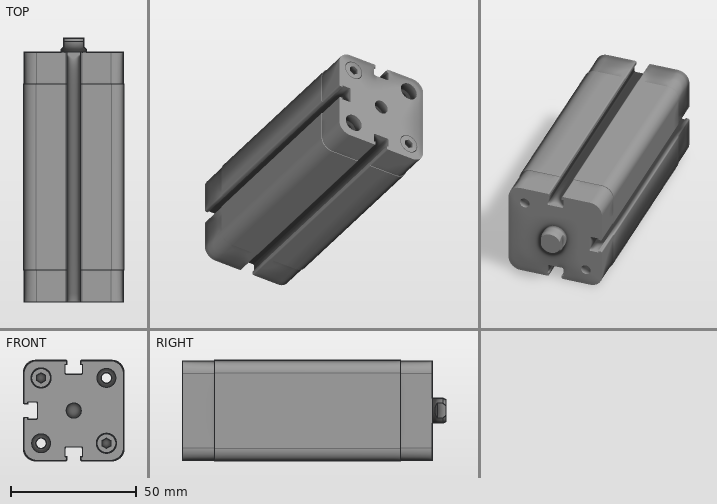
import cadquery as cq
import math


total_length = 105.0
rod_projection = 5.5
cap_length = 12.75
body_length = total_length - rod_projection
barrel_length = body_length - 2 * cap_length

barrel_width = 40.1
cap_width = 39.6
corner_radius = 5.0

mouth_half_width = 2.7
mouth_radius = 0.55
pocket_half_width = 3.4
lip_height = 18.3
floor_height = 14.5
floor_radius = 0.5
groove_angles = (0, 180, -90)

hole_offset = 13.0
through_diameter = 4.13
counterbore_diameter = 7.5
counterbore_depth = 4.5
screw_bore_diameter = 8.0
screw_head_diameter = 7.5
screw_gap_depth = 5.0
socket_flats = 3.5
socket_depth = 3.0
centre_hole_diameter = 6.0
centre_hole_depth = 4.0

rod_diameter = 10.0
rod_flats = 8.0
rod_flat_length = 3.5
rod_chamfer_length = 1.3
rod_chamfer_depth = 0.65

through_points = [(hole_offset, hole_offset), (-hole_offset, -hole_offset)]
screw_points = [(-hole_offset, hole_offset), (hole_offset, -hole_offset)]


def section_plane(y):
    """Workplane across the cylinder at the given Y, with local axes X and Z and normal -Y."""
    return cq.Workplane("XZ", origin=(0, y, 0))


def arc_middle(centre_x, centre_z, radius, sign_x, sign_z):
    """Midpoint of a quarter arc lying on the given diagonal side of its centre."""
    reach = radius * math.sqrt(0.5)
    return (centre_x + sign_x * reach, centre_z + sign_z * reach)


def groove(face_height, y, length):
    """T-shaped groove through a +Z face, with rounded mouth edges and floor corners."""
    flare = mouth_half_width + mouth_radius
    mouth_bottom = face_height - mouth_radius
    floor_edge = pocket_half_width - floor_radius
    floor_top = floor_height + floor_radius
    return (
        section_plane(y)
        .moveTo(flare, face_height)
        .threePointArc(
            arc_middle(flare, mouth_bottom, mouth_radius, -1, 1),
            (mouth_half_width, mouth_bottom),
        )
        .lineTo(mouth_half_width, lip_height)
        .lineTo(pocket_half_width, lip_height)
        .lineTo(pocket_half_width, floor_top)
        .threePointArc(
            arc_middle(floor_edge, floor_top, floor_radius, 1, -1),
            (floor_edge, floor_height),
        )
        .lineTo(-floor_edge, floor_height)
        .threePointArc(
            arc_middle(-floor_edge, floor_top, floor_radius, -1, -1),
            (-pocket_half_width, floor_top),
        )
        .lineTo(-pocket_half_width, lip_height)
        .lineTo(-mouth_half_width, lip_height)
        .lineTo(-mouth_half_width, mouth_bottom)
        .threePointArc(
            arc_middle(-flare, mouth_bottom, mouth_radius, 1, 1),
            (-flare, face_height),
        )
        .close()
        .extrude(-length)
    )


def grooved_block(width, y, length):
    """Square block with rounded corners and a groove in three of its sides."""
    block = section_plane(y).rect(width, width).extrude(-length).edges("|Y").fillet(corner_radius)
    cutter = groove(width / 2, y, length)
    for angle in groove_angles:
        block = block.cut(cutter.rotate((0, 0, 0), (0, 1, 0), angle))
    return block


def piston_rod():
    """Rod end with a chamfered tip and two wrench flats that run out at 45 degrees."""
    radius = rod_diameter / 2
    flat = rod_flats / 2
    flat_end = total_length - rod_flat_length
    rod = (
        cq.Workplane("XY")
        .moveTo(0, body_length)
        .lineTo(radius, body_length)
        .lineTo(radius, total_length - rod_chamfer_length)
        .lineTo(radius - rod_chamfer_depth, total_length)
        .lineTo(0, total_length)
        .close()
        .revolve(360, (0, 0), (0, 1))
    )
    flat_cutter = (
        cq.Workplane("XY")
        .moveTo(flat, total_length)
        .lineTo(flat, flat_end)
        .lineTo(radius, flat_end - (radius - flat))
        .lineTo(radius, total_length)
        .close()
        .extrude(radius, both=True)
    )
    return rod.cut(flat_cutter).cut(flat_cutter.mirror("YZ"))


def mounting_holes():
    """Through holes on one diagonal, counterbored from the front face."""
    holes = section_plane(0).pushPoints(through_points)
    bores = holes.circle(through_diameter / 2).extrude(-body_length)
    counterbores = holes.circle(counterbore_diameter / 2).extrude(-counterbore_depth)
    return bores.union(counterbores)


def screw_recesses():
    """Clearance ring around each flush screw head, and the hexagon socket in the head."""
    screws = section_plane(0).pushPoints(screw_points)
    recesses = (
        screws.circle(screw_bore_diameter / 2)
        .circle(screw_head_diameter / 2)
        .extrude(-screw_gap_depth)
    )
    socket_across_corners = socket_flats / math.cos(math.pi / 6)
    socket = (
        cq.Workplane("XZ")
        .transformed(rotate=(0, 0, 90))
        .polygon(6, socket_across_corners)
        .extrude(-socket_depth)
    )
    for x, z in screw_points:
        recesses = recesses.union(socket.translate((x, 0, z)))
    return recesses


def centre_hole():
    """Blind hole on the axis of the front cap."""
    return section_plane(0).circle(centre_hole_diameter / 2).extrude(-centre_hole_depth)


front_cap = grooved_block(cap_width, 0, cap_length)
barrel = grooved_block(barrel_width, cap_length, barrel_length)
rear_cap = grooved_block(cap_width, cap_length + barrel_length, cap_length)

result = (
    barrel.union(front_cap)
    .union(rear_cap)
    .union(piston_rod())
    .cut(mounting_holes())
    .cut(screw_recesses())
    .cut(centre_hole())
)